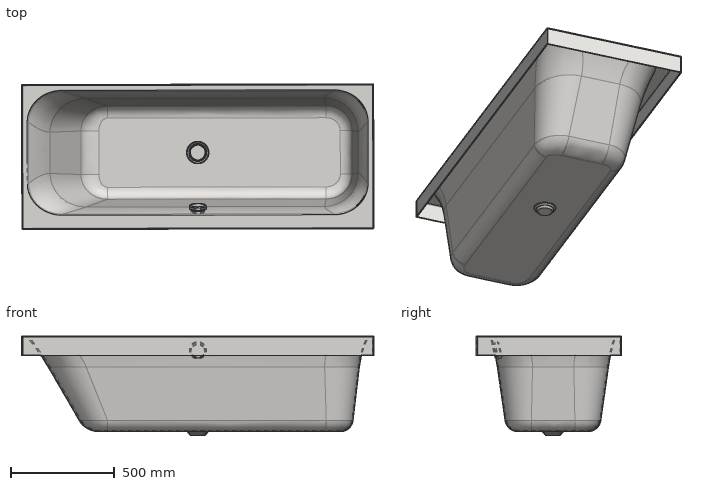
import cadquery as cq
import math


RIM_LENGTH = 1700.0
RIM_WIDTH = 700.0
RIM_HEIGHT = 93.0
RIM_EDGE_RADIUS = 6.0
SHEET = 5.0
ASSEMBLY_TURN = 0.102

BASIN_Y = 20.0
FLOOR_Z = -457.0
WALL_FOOT_Z = -407.0
FLARE_Z = -150.0
LIP_RADIUS = 8.0

FLOOR_LEFT = -477.0
FLOOR_RIGHT = 688.0
FLOOR_HALF_WIDTH = 167.0

HEAD_SLOPE = 0.58
FOOT_SLOPE = 0.118
SIDE_SLOPE = 0.144

OPENING_HALF_LENGTH = 827.0 - LIP_RADIUS
OPENING_HALF_WIDTH = 305.0 - LIP_RADIUS

LEFT_CORNER_X = -436.0
LEFT_CORNER_SLOPE = -0.40
LEFT_CORNER_RIM_X = -660.0
RIGHT_CORNER_X = 620.0
RIGHT_CORNER_SLOPE = -0.03
RIGHT_CORNER_RIM_X = 660.0
CORNER_Y = 105.0
CORNER_Y_SLOPE = -0.02
CORNER_RIM_Y = 150.0

FILLET_STEPS = 5
FLARE_STEPS = 3

SELECT_MARGIN = 1.0

CAP_RADIUS = 41.0
CAP_CHAMFER = 5.0

DIMPLE_TOP_RADIUS = 54.0
DIMPLE_FLOOR_RADIUS = 43.0
DIMPLE_DEPTH = 11.0
BOSS_TOP_RADIUS = 51.0
BOSS_BOTTOM_RADIUS = 35.0
BOSS_BOTTOM_Z = -480.0

OVERFLOW_Z = -72.0
OVERFLOW_CAP_THICKNESS = 18.0
OVERFLOW_CAP_GAP = 6.0
OVERFLOW_STEM_RADIUS = 33.0
OVERFLOW_STEM_REACH = 10.0


def fillet_reach(height, slope, rise):
    """Horizontal reach, at `rise` above the floor, of an arc that ends tangent to a wall at `height`."""
    radius = height / (1 - math.sin(math.atan(slope)))
    return math.sqrt(2 * radius * rise - rise**2)


def run_above_foot(z, inner_foot, slope, rim):
    """Outward run from the wall foot to height z: a straight slope, then a flare.

    The flare is sized so that a run starting at `inner_foot` ends at `rim` when z is 0.
    """
    flare_run = rim - inner_foot + slope * WALL_FOOT_Z
    flare_share = max(0.0, 1 - z / FLARE_Z)
    return slope * max(0.0, z - WALL_FOOT_Z) + flare_run * flare_share**2


def wall_position(z, floor_z, floor_edge, slope, rim):
    """Distance outward of a wall at height z, for a basin whose floor is at floor_z."""
    fillet_height = WALL_FOOT_Z - floor_z
    rise = min(z - floor_z, fillet_height)
    inner_height = WALL_FOOT_Z - FLOOR_Z
    inner_foot = floor_edge + fillet_reach(inner_height, slope, inner_height)
    return floor_edge + fillet_reach(fillet_height, slope, rise) + run_above_foot(z, inner_foot, slope, rim)


def corner_position(z, foot, slope, rim):
    """X or Y at which a corner begins at height z."""
    return foot + run_above_foot(z, foot, slope, rim)


def half_width_at(z, floor_z=FLOOR_Z):
    """Half the basin width at height z."""
    return wall_position(z, floor_z, FLOOR_HALF_WIDTH, SIDE_SLOPE, OPENING_HALF_WIDTH)


def basin_outline(z, floor_z):
    """Closed outline of the basin at height z: four straight sides and four quarter ellipses."""
    left = -wall_position(z, floor_z, -FLOOR_LEFT, HEAD_SLOPE, OPENING_HALF_LENGTH)
    right = wall_position(z, floor_z, FLOOR_RIGHT, FOOT_SLOPE, OPENING_HALF_LENGTH)
    half_width = half_width_at(z, floor_z)
    left_corner = corner_position(z, LEFT_CORNER_X, LEFT_CORNER_SLOPE, LEFT_CORNER_RIM_X)
    right_corner = corner_position(z, RIGHT_CORNER_X, RIGHT_CORNER_SLOPE, RIGHT_CORNER_RIM_X)
    corner_y = corner_position(z, CORNER_Y, CORNER_Y_SLOPE, CORNER_RIM_Y)

    def side(x1, y1, x2, y2):
        return cq.Edge.makeLine(cq.Vector(x1, BASIN_Y + y1, z), cq.Vector(x2, BASIN_Y + y2, z))

    def corner(x, y, x_radius, start_angle):
        return cq.Edge.makeEllipse(
            x_radius, half_width - corner_y, cq.Vector(x, BASIN_Y + y, z), cq.Vector(0, 0, 1),
            cq.Vector(1, 0, 0), start_angle, start_angle + 90,
        )

    left_radius = left_corner - left
    right_radius = right - right_corner
    return cq.Wire.assembleEdges([
        side(left_corner, -half_width, right_corner, -half_width),
        corner(right_corner, -corner_y, right_radius, 270),
        side(right, -corner_y, right, corner_y),
        corner(right_corner, corner_y, right_radius, 0),
        side(right_corner, half_width, left_corner, half_width),
        corner(left_corner, corner_y, left_radius, 90),
        side(left, corner_y, left, -corner_y),
        corner(left_corner, -corner_y, left_radius, 180),
    ])


def basin_solid(floor_z):
    """Solid filling the basin from floor_z up to the top of the rim."""
    fillet_height = WALL_FOOT_Z - floor_z
    fillet_levels = [floor_z + fillet_height * (i / FILLET_STEPS) ** 2 for i in range(FILLET_STEPS + 1)]
    wall_levels = [WALL_FOOT_Z, FLARE_Z]
    flare_levels = [FLARE_Z * (1 - i / FLARE_STEPS) for i in range(FLARE_STEPS + 1)]
    solid = None
    for levels in (fillet_levels, wall_levels, flare_levels):
        outlines = [basin_outline(z, floor_z) for z in levels]
        part = cq.Workplane(cq.Solid.makeLoft(outlines, len(outlines) == 2))
        solid = part if solid is None else solid.union(part)
    return solid


def drain_cone(bottom_radius, top_radius, bottom_z, top_z):
    """Cone frustum on the drain's axis."""
    foot = cq.Vector(0, BASIN_Y, bottom_z)
    return cq.Workplane(cq.Solid.makeCone(bottom_radius, top_radius, top_z - bottom_z, foot))


SLOPE_STEP = 1.0
overflow_slope = (half_width_at(OVERFLOW_Z + SLOPE_STEP) - half_width_at(OVERFLOW_Z)) / SLOPE_STEP
overflow_plane = cq.Plane(
    origin=(0, BASIN_Y - half_width_at(OVERFLOW_Z), OVERFLOW_Z),
    xDir=(1, 0, 0),
    normal=(0, 1, overflow_slope),
)


def overflow_stem():
    """Round stem that passes through the tub wall and carries the overflow cap."""
    return (
        cq.Workplane(overflow_plane)
        .workplane(offset=-OVERFLOW_STEM_REACH)
        .circle(OVERFLOW_STEM_RADIUS)
        .extrude(OVERFLOW_STEM_REACH + OVERFLOW_CAP_GAP)
    )


def make_overflow():
    """Chamfered overflow cap on its stem."""
    cap = (
        cq.Workplane(overflow_plane)
        .workplane(offset=OVERFLOW_CAP_GAP)
        .circle(CAP_RADIUS)
        .extrude(OVERFLOW_CAP_THICKNESS)
        .faces(cq.selectors.DirectionMinMaxSelector(overflow_plane.zDir, True))
        .chamfer(CAP_CHAMFER)
    )
    return cap.union(overflow_stem())


def make_drain_cap():
    """Chamfered disc standing on the dimple floor, flush with the tub floor."""
    return (
        cq.Workplane(origin=(0, BASIN_Y, FLOOR_Z - DIMPLE_DEPTH))
        .circle(CAP_RADIUS)
        .extrude(DIMPLE_DEPTH)
        .faces(">Z")
        .chamfer(CAP_CHAMFER)
    )


def make_rim():
    """Deck and skirt, open underneath, with rounded outer edges."""
    block = (
        cq.Workplane(origin=(0, 0, -RIM_HEIGHT))
        .rect(RIM_LENGTH, RIM_WIDTH)
        .extrude(RIM_HEIGHT)
        .edges("|Z or >Z")
        .fillet(RIM_EDGE_RADIUS)
    )
    hollow = (
        cq.Workplane(origin=(0, 0, -RIM_HEIGHT))
        .rect(RIM_LENGTH - 2 * SHEET, RIM_WIDTH - 2 * SHEET)
        .extrude(RIM_HEIGHT - SHEET)
    )
    return block.cut(hollow)


def make_tub():
    """Rim and basin shell, with the drain dimple and the overflow hole."""
    boss = drain_cone(BOSS_BOTTOM_RADIUS, BOSS_TOP_RADIUS, BOSS_BOTTOM_Z, FLOOR_Z - SHEET)
    dimple = drain_cone(DIMPLE_FLOOR_RADIUS, DIMPLE_TOP_RADIUS, FLOOR_Z - DIMPLE_DEPTH, FLOOR_Z)
    tub = make_rim().union(basin_solid(FLOOR_Z - SHEET)).union(boss)
    tub = tub.cut(basin_solid(FLOOR_Z))
    opening = cq.selectors.BoxSelector(
        (-OPENING_HALF_LENGTH - SELECT_MARGIN, BASIN_Y - OPENING_HALF_WIDTH - SELECT_MARGIN, -SELECT_MARGIN),
        (OPENING_HALF_LENGTH + SELECT_MARGIN, BASIN_Y + OPENING_HALF_WIDTH + SELECT_MARGIN, SELECT_MARGIN),
    )
    tub = tub.edges(opening).fillet(LIP_RADIUS)
    return tub.cut(dimple).cut(overflow_stem())


tub = make_tub()
drain_cap = make_drain_cap()
overflow = make_overflow()

bodies = [tub, drain_cap, overflow]
result = cq.Compound.makeCompound(
    [body.rotate((0, 0, 0), (0, 0, 1), ASSEMBLY_TURN).val() for body in bodies]
)